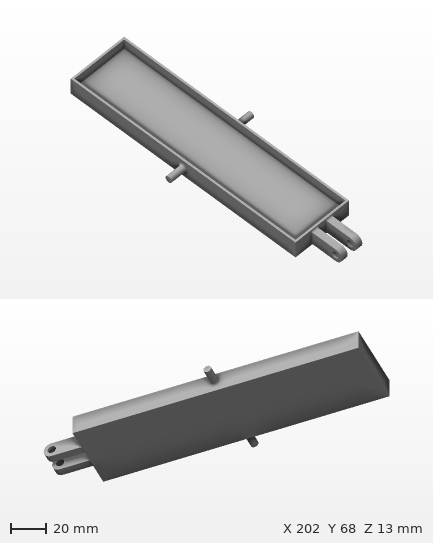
import cadquery as cq
import math

tray_length = 178.0
tray_width = 44.0
tray_height = 13.0
wall_thickness = 1.5
floor_thickness = 5.0

pin_length = 12.0
pin_diameter = 4.8
pin_root_fillet = 1.5

lug_length = 24.0
lug_height = 10.0
lug_thickness = 5.0
lug_gap = 7.0
lug_pair_y = -0.5
lug_hole_diameter = 5.07

tray_end_x = tray_length / 2
tray_side_y = tray_width / 2
lug_tip_radius = lug_height / 2
lug_hole_x = tray_end_x + lug_length - lug_tip_radius
lug_spacing = lug_gap + lug_thickness
lug_root_fillet = (tray_height - lug_height) / 2


def fillet_bulge(radius):
    """Distance from each tangent face to the middle of a quarter-round fillet."""
    return radius * (1 - math.sqrt(0.5))


def make_tray():
    """Open-topped rectangular tray."""
    outside = cq.Workplane("XY").box(tray_length, tray_width, tray_height)
    cavity_length = tray_length - 2 * wall_thickness
    cavity_width = tray_width - 2 * wall_thickness
    cavity = (
        cq.Workplane("XY")
        .box(cavity_length, cavity_width, tray_height)
        .translate((0, 0, floor_thickness))
    )
    return outside.cut(cavity)


def make_pin(side):
    """Pivot pin with a concave root fillet; side is +1 for +Y and -1 for -Y."""
    pin_radius = pin_diameter / 2
    root_radius = pin_radius + pin_root_fillet
    bulge = fillet_bulge(pin_root_fillet)
    wall_y = side * tray_side_y
    fillet_middle_y = side * (tray_side_y + bulge)
    fillet_end_y = side * (tray_side_y + pin_root_fillet)
    tip_y = side * (tray_side_y + pin_length)
    return (
        cq.Workplane("XY")
        .moveTo(0, wall_y)
        .lineTo(root_radius, wall_y)
        .threePointArc((pin_radius + bulge, fillet_middle_y), (pin_radius, fillet_end_y))
        .lineTo(pin_radius, tip_y)
        .lineTo(0, tip_y)
        .close()
        .revolve(360, (0, 0, 0), (0, 1, 0))
    )


def make_lug(center_y):
    """Round-ended lug whose top and bottom blend into the tray end wall."""
    root_half_height = lug_tip_radius + lug_root_fillet
    bulge = fillet_bulge(lug_root_fillet)
    fillet_middle_x = tray_end_x + bulge
    fillet_middle_z = lug_tip_radius + bulge
    fillet_end_x = tray_end_x + lug_root_fillet
    tip_x = lug_hole_x + lug_tip_radius
    blank = (
        cq.Workplane("XZ")
        .moveTo(tray_end_x, -root_half_height)
        .threePointArc((fillet_middle_x, -fillet_middle_z), (fillet_end_x, -lug_tip_radius))
        .lineTo(lug_hole_x, -lug_tip_radius)
        .threePointArc((tip_x, 0), (lug_hole_x, lug_tip_radius))
        .lineTo(fillet_end_x, lug_tip_radius)
        .threePointArc((fillet_middle_x, fillet_middle_z), (tray_end_x, root_half_height))
        .close()
        .extrude(lug_thickness / 2, both=True)
    )
    hole = (
        cq.Workplane("XZ")
        .center(lug_hole_x, 0)
        .circle(lug_hole_diameter / 2)
        .extrude(lug_thickness, both=True)
    )
    return blank.cut(hole).translate((0, center_y, 0))


result = make_tray()
for y_side in (1, -1):
    result = result.union(make_pin(y_side))
    result = result.union(make_lug(lug_pair_y + y_side * lug_spacing / 2))